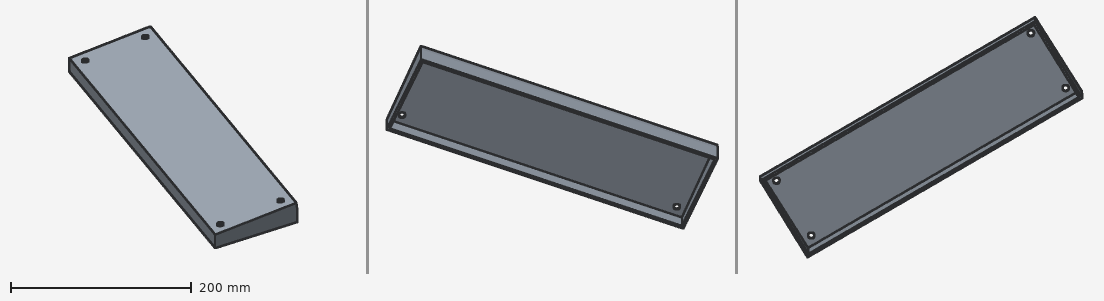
import cadquery as cq
import math

length = 354.7
depth = 102.0
rear_height = 27.5
front_height = 19.0

wall = 3.0

lean_inset = 1.0
lean_height = 8.5

hole_diameter = 7.0
hole_inset = 13.0

slope_run = depth - lean_inset
slope_rise = rear_height - front_height
slope_angle = math.degrees(math.atan2(slope_rise, slope_run))
slope_length = math.hypot(slope_run, slope_rise)


def wedge():
    """Solid wedge, low at the front (-Y) and high at the rear."""
    return (
        cq.Workplane("YZ")
        .moveTo(0, 0)
        .lineTo(depth, 0)
        .lineTo(depth, rear_height - lean_height)
        .lineTo(slope_run, rear_height)
        .lineTo(0, front_height)
        .close()
        .extrude(length)
    )


def hole_cutters():
    """Four pins through the top plate, laid out in the plane of the slope."""
    top_plane = cq.Plane(origin=(0, 0, front_height), xDir=(1, 0, 0), normal=(0, 0, 1))
    top_plane = top_plane.rotated((slope_angle, 0, 0))
    centres = [
        (x, y)
        for x in (hole_inset, length - hole_inset)
        for y in (hole_inset, slope_length - hole_inset)
    ]
    return (
        cq.Workplane(top_plane)
        .pushPoints(centres)
        .circle(hole_diameter / 2)
        .extrude(2 * wall, both=True)
    )


cover = wedge().faces("<Z").shell(-wall)
result = cover.cut(hole_cutters())